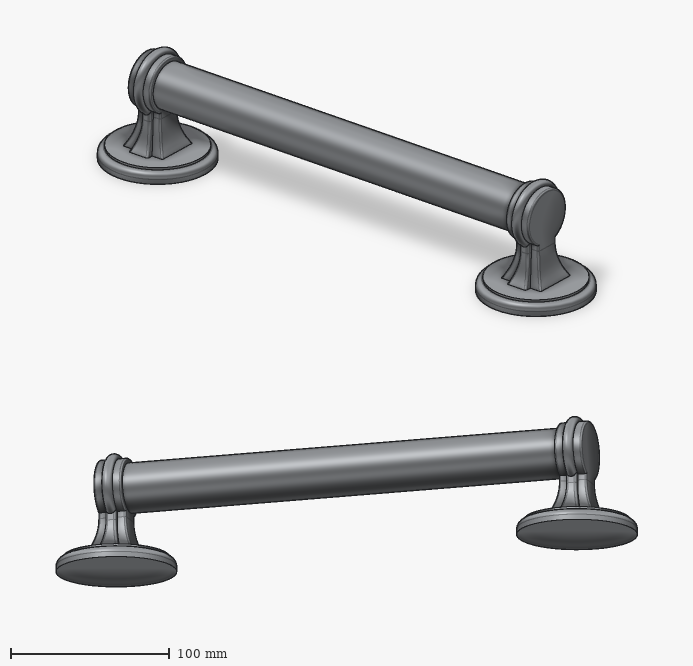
import cadquery as cq

overall_length = 381.0
overall_height = 76.2
flange_radius = 38.0
post_x = overall_length / 2 - flange_radius

flange_rim_height = 3.5
flange_shoulder_height = 8.0
flange_lip_radius = 33.5
flange_height = 9.5
flange_shoulder_radius = 34.3
shoulder_round = flange_shoulder_height - flange_rim_height

head_radius = 19.0
head_half_length = 9.0
bead_radius = 3.5
edge_round = 1.0
axis_z = overall_height - head_radius - bead_radius

bar_radius = 16.0

slab_neck_y = 8.8
slab_foot_x = 16.0
slab_foot_y = 15.2
slab_flare_top = 33.0
rib_neck_y = slab_neck_y + bead_radius
rib_foot_x = 7.5
rib_foot_y = 20.0
rib_flare_top = 31.0
rib_round = 1.5


def flange():
    """Round plate with a rounded shoulder and a raised flat lip."""
    profile = (
        cq.Workplane("XZ")
        .lineTo(flange_radius, 0)
        .lineTo(flange_radius, flange_rim_height)
        .radiusArc((flange_shoulder_radius, flange_shoulder_height), -shoulder_round)
        .lineTo(flange_lip_radius, flange_shoulder_height)
        .lineTo(flange_lip_radius, flange_height)
        .lineTo(0, flange_height)
        .close()
    )
    return profile.revolve(360, (0, 0, 0), (0, 1, 0))


def flared_sheet(plane, neck, foot, flare_top):
    """Straight neck that sweeps out to the foot, extruded well past the post."""
    drop = flare_top - flange_height
    spread = foot - neck
    flare_radius = (drop**2 + spread**2) / (2 * spread)
    profile = (
        cq.Workplane(plane)
        .moveTo(-foot, flange_height)
        .lineTo(foot, flange_height)
        .radiusArc((neck, flare_top), flare_radius)
        .lineTo(neck, axis_z)
        .lineTo(-neck, axis_z)
        .lineTo(-neck, flare_top)
        .radiusArc((-foot, flange_height), flare_radius)
        .close()
    )
    return profile.extrude(flange_radius, both=True)


def flared_column(neck, foot, flare_top, corner_round):
    """Rectangular column flared along X and Y, with rounded corners."""
    along_x = flared_sheet("XZ", neck[0], foot[0], flare_top)
    along_y = flared_sheet("YZ", neck[1], foot[1], flare_top)
    column = along_x.intersect(along_y)
    return column.edges("not(#Z or |X or |Y)").fillet(corner_round)


def head():
    """Short drum on the bar axis with rounded rims and a raised bead."""
    drum = (
        cq.Workplane("YZ")
        .center(0, axis_z)
        .circle(head_radius)
        .extrude(head_half_length, both=True)
        .edges()
        .fillet(edge_round)
    )
    bead = (
        cq.Workplane("XZ", origin=(0, 0, axis_z))
        .moveTo(-bead_radius, 0)
        .lineTo(-bead_radius, -head_radius)
        .radiusArc((bead_radius, -head_radius), -bead_radius)
        .lineTo(bead_radius, 0)
        .close()
        .revolve(360, (0, 0, 0), (1, 0, 0))
    )
    return drum.union(bead)


def post():
    """Flange, flared column with side ribs, and head, centred on the Z axis."""
    slab = flared_column(
        (head_half_length, slab_neck_y), (slab_foot_x, slab_foot_y), slab_flare_top, edge_round
    )
    rib = flared_column((bead_radius, rib_neck_y), (rib_foot_x, rib_foot_y), rib_flare_top, rib_round)
    return flange().union(slab).union(rib).union(head())


bar = cq.Workplane("YZ").center(0, axis_z).circle(bar_radius).extrude(post_x, both=True)
result = bar
for side in (-1, 1):
    result = result.union(post().translate((side * post_x, 0, 0)))